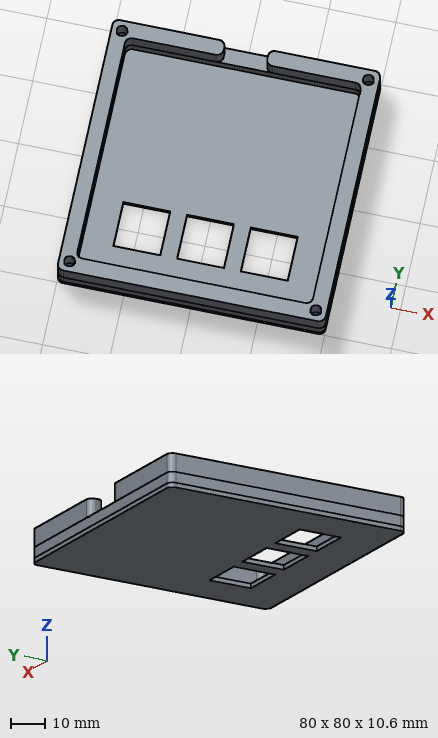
import cadquery as cq

side = 80.0
corner_radius = 2.0
inner_side = 70.4
wall = (side - inner_side) / 2

base_thickness = 1.4
spacer_thickness = 3.4
rim_thickness = 5.8
spacer_bottom = base_thickness
rim_bottom = spacer_bottom + spacer_thickness

screw_diameter = 3.2
screw_inset = 3.2
screw_spacing = side - 2 * screw_inset

window_side = 14.0
window_pitch = 19.0
window_count = 3
window_row_y = -window_pitch

gap_width = 13.0
gap_end_radius = 2.0


def rounded_plate(width, thickness, bottom):
    """Square plate with rounded vertical edges, standing on height `bottom`."""
    plate = cq.Workplane("XY").box(width, width, thickness, centered=(True, True, False))
    return plate.edges("|Z").fillet(corner_radius).translate((0, 0, bottom))


def frame(thickness, bottom):
    """Open square frame with a screw hole through each corner."""
    opening = rounded_plate(inner_side, thickness, bottom)
    screw_holes = (
        cq.Workplane("XY", origin=(0, 0, bottom))
        .rect(screw_spacing, screw_spacing, forConstruction=True)
        .vertices()
        .circle(screw_diameter / 2)
        .extrude(thickness)
    )
    return rounded_plate(side, thickness, bottom).cut(opening).cut(screw_holes)


def make_base():
    """Bottom plate with a row of square windows."""
    windows = (
        cq.Workplane("XY")
        .center(0, window_row_y)
        .rarray(window_pitch, 0.8, window_count, 1)
        .rect(window_side, window_side)
        .extrude(base_thickness)
    )
    return rounded_plate(side, base_thickness, 0).cut(windows)


def make_rim():
    """Top frame whose +Y wall is interrupted by a gap with rounded wall ends."""
    gap = (
        cq.Workplane("XY", origin=(0, side / 2 - wall / 2, rim_bottom))
        .rect(gap_width, wall)
        .extrude(rim_thickness)
    )
    gap_end_edges = cq.selectors.BoxSelector(
        (-gap_width, 0, rim_bottom),
        (gap_width, side, rim_bottom + rim_thickness),
    )
    rim = frame(rim_thickness, rim_bottom).cut(gap)
    return rim.edges("|Z").edges(gap_end_edges).fillet(gap_end_radius)


base = make_base()
spacer = frame(spacer_thickness, spacer_bottom)
rim = make_rim()

result = cq.Compound.makeCompound([base.val(), spacer.val(), rim.val()])